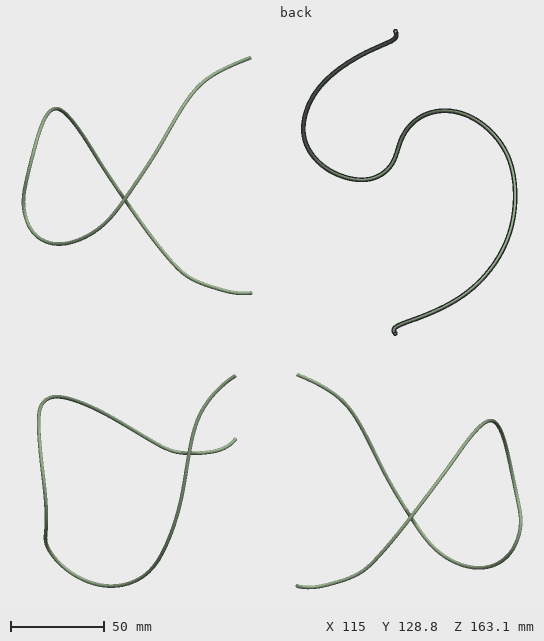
import cadquery as cq
import math

overall_height = 163.1
wire_diameter = 2.0
end_slope = 21.0
end_x = 7.2
end_y = 64.0
end_height = overall_height / 2 - wire_diameter / 2 * math.cos(math.radians(end_slope))
lead_in_y = 52.2
lead_in_height = 77.3

upper_end = (end_x, end_y, end_height)
upper_lead_in = (end_x, lead_in_y, lead_in_height)
lower_lead_in = (end_x, lead_in_y, -lead_in_height)
lower_end = (end_x, end_y, -end_height)

upper_sweep = [
    (12.0, 36.4, 74.2),
    (22.2, 22.7, 69.7),
    (40.8, 2.5, 57.7),
    (53.2, -17.0, 42.1),
    (56.3, -31.5, 26.6),
    (51.7, -43.9, 14.8),
    (34.4, -57.9, 3.0),
]
front_bend = [
    (17.8, -62.8, 2.8),
    (9.6, -63.1, 9.1),
    (4.2, -59.9, 22.7),
    (-5.4, -52.9, 34.4),
]
lower_sweep = [
    (-21.7, -43.2, 38.2),
    (-41.1, -31.0, 29.5),
    (-52.4, -21.4, 14.8),
    (-56.6, -11.1, -4.9),
    (-54.3, -1.8, -24.6),
    (-42.0, 11.1, -48.1),
    (-29.4, 19.0, -59.9),
    (-15.8, 26.0, -67.7),
    (-6.2, 31.8, -71.8),
    (3.9, 45.0, -75.5),
]

path_points = [upper_end, upper_lead_in]
path_points += upper_sweep + front_bend + lower_sweep
path_points += [lower_lead_in, lower_end]

centreline = cq.Workplane("XY").spline([cq.Vector(*point) for point in path_points])

start_direction = cq.Vector(*upper_lead_in) - cq.Vector(*upper_end)
section_plane = cq.Plane(origin=upper_end, xDir=(1, 0, 0), normal=start_direction)

result = cq.Workplane(section_plane).circle(wire_diameter / 2).sweep(centreline)